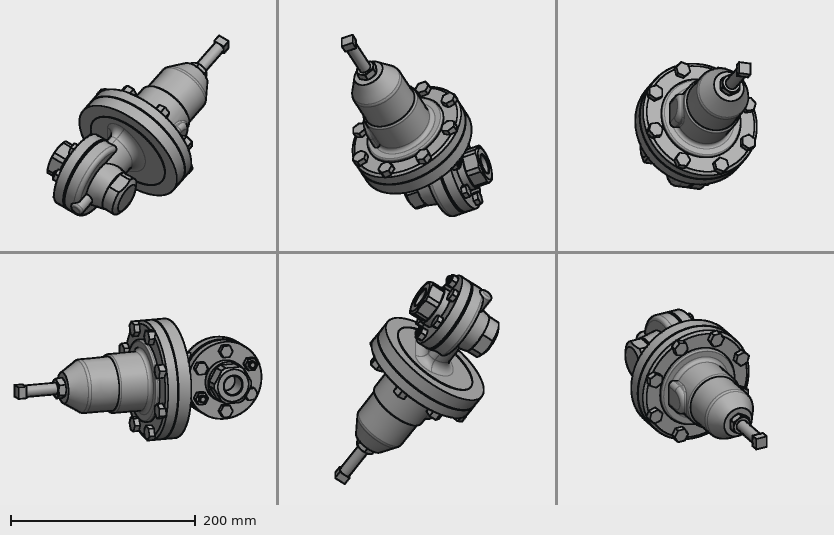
import cadquery as cq
import math


hex_half_angle = 30

bonnet_radius = 32.0
bonnet_base_y = 85.0
bonnet_shoulder_y = 122.0
shoulder_round = 1.6
bonnet_root_fillet = 4.5
barrel_bottom_radius = 29.6
barrel_top_radius = 29.5
barrel_top_y = 154.0
cone_start_y = 157.3
cone_start_radius = 28.3
cone_top_y = 175.7
cone_top_radius = 17.0

rod_diameter = 13.0
rod_end_y = 229.5
square_head_length = 9.0
lock_nut_flats = 19.5
lock_nut_top_y = 184.2
lock_nut_chamfer_angle = 30

flange_radius = 65.0
flange_bottom_y = 52.0
flange_rim_y = 78.8
flange_top_y = 80.7
flange_bevel_width = 3.5
flange_joint_y = 67.0
flange_joint_width = 0.8
joint_depth = 0.3
ring_radius = 45.0
ring_round = 2.0
pad_radius = 49.5
pad_thickness = 0.8

flange_bolt_count = 8
flange_bolt_circle_radius = 57.5
flange_bolt_flats = 14.3
flange_bolt_top_y = 87.0
flange_bolt_twist = 7.5

arch_radius = 16.2
arch_center_y = 99.5
arch_face_x = 36.5
arch_round = 5.8
arch_root_fillet = 2.2

neck_min_x = -16.7
neck_radius = 30.0
neck_corner_radius = 6.9
neck_flare_radius = 10.2

disc_radius = 42.8
cover_left_x = -30.7
gasket_left_x = -18.7
gasket_right_x = neck_min_x
gasket_recess = 0.5
disc_edge_round = 5.0
spigot_start_radius = 26.5
spigot_end_radius = 22.8
outlet_start_x = 19.2
outlet_end_x = 35.7
outlet_radius = 22.2
port_flats = 39.5
outlet_bevel_length = 3.3
outlet_bevel_depth = 5.8

collar_radius = 22.5
inlet_hex_right_x = -39.5
inlet_end_x = -56.3
inlet_corner_radius = 21.5
inlet_bevel_length = 1.5
inlet_bevel_depth = 3.5
bore_radius = 10.5
bore_chamfer = 0.8
bore_depth = 22.0

cover_bolt_count = 6
cover_bolt_circle_radius = 33.2
cover_bolt_flats = 12.5
cover_bolt_head = 5.8
cover_nut_height = 6.5
stud_radius = 4.0
stud_end_x = -40.4
stud_end_chamfer = 1.0
stud_positions = (1, 4)

plug_radius = 7.7
total_length = 274.5
plug_end_y = rod_end_y - total_length
plug_round = 2.7


def hex_diameter(flats):
    """Across-corners size of a hexagon from its across-flats size."""
    return flats / math.cos(math.radians(hex_half_angle))


def cylinder_y(radius, start_y, end_y):
    """Cylinder on the Y axis between two Y levels."""
    height = end_y - start_y
    start = cq.Vector(0, start_y, 0)
    return cq.Workplane(cq.Solid.makeCylinder(radius, height, start, cq.Vector(0, 1, 0)))


def cylinder_x(radius, start_x, end_x):
    """Cylinder on the X axis between two X positions."""
    length = end_x - start_x
    start = cq.Vector(start_x, 0, 0)
    return cq.Workplane(cq.Solid.makeCylinder(radius, length, start, cq.Vector(1, 0, 0)))


def prism_y(start_y):
    """Workplane facing +Y at a Y level, with local x along +X and local y along -Z."""
    return cq.Workplane(cq.Plane((0, start_y, 0), (1, 0, 0), (0, 1, 0)))


def prism_x(start_x):
    """Workplane facing -X at an X position, with local x along +Y and local y along -Z."""
    return cq.Workplane(cq.Plane((start_x, 0, 0), (0, 1, 0), (-1, 0, 0)))


def make_bonnet():
    """Tapered bonnet with a rounded shoulder and a fillet flowing into the flange ring."""
    fillet_top_y = bonnet_base_y + bonnet_root_fillet
    fillet_middle = bonnet_root_fillet * (1 - math.sqrt(0.5))
    round_middle = shoulder_round * (1 - math.sqrt(0.5))
    return (
        cq.Workplane("XY")
        .moveTo(0, flange_bottom_y)
        .lineTo(bonnet_radius + bonnet_root_fillet, flange_bottom_y)
        .lineTo(bonnet_radius + bonnet_root_fillet, bonnet_base_y)
        .threePointArc(
            (bonnet_radius + fillet_middle, bonnet_base_y + fillet_middle),
            (bonnet_radius, fillet_top_y),
        )
        .lineTo(bonnet_radius, bonnet_shoulder_y - shoulder_round)
        .threePointArc(
            (bonnet_radius - round_middle, bonnet_shoulder_y - round_middle),
            (bonnet_radius - shoulder_round, bonnet_shoulder_y),
        )
        .lineTo(barrel_bottom_radius, bonnet_shoulder_y)
        .lineTo(barrel_top_radius, barrel_top_y)
        .tangentArcPoint((cone_start_radius, cone_start_y), relative=False)
        .lineTo(cone_top_radius, cone_top_y)
        .lineTo(0, cone_top_y)
        .close()
        .revolve(360, (0, 0), (0, 1))
    )


def make_adjusting_screw():
    """Round rod with a square head and a chamfered lock nut, nut corners along Z."""
    rod = cylinder_y(rod_diameter / 2, bonnet_base_y, rod_end_y)
    head_plane = prism_y(rod_end_y - square_head_length)
    head = head_plane.rect(rod_diameter, rod_diameter).extrude(square_head_length)
    nut_height = lock_nut_top_y - cone_top_y
    corner_diameter = hex_diameter(lock_nut_flats)
    nut_plane = prism_y(cone_top_y).transformed((0, 0, hex_half_angle))
    nut = nut_plane.polygon(6, corner_diameter).extrude(nut_height)
    bevel_width = (corner_diameter - lock_nut_flats) / 2
    bevel_height = bevel_width * math.tan(math.radians(lock_nut_chamfer_angle))
    blank = cylinder_y(corner_diameter / 2, cone_top_y, lock_nut_top_y)
    blank = blank.faces("<Y or >Y").chamfer(bevel_height, bevel_width)
    return rod.union(head).union(nut.intersect(blank))


def make_flange():
    """Two clamped flange halves with a bevelled rim, a joint line and a raised ring on top."""
    flange = (
        cq.Workplane("XY")
        .moveTo(0, flange_bottom_y)
        .lineTo(flange_radius, flange_bottom_y)
        .lineTo(flange_radius, flange_rim_y)
        .lineTo(flange_radius - flange_bevel_width, flange_top_y)
        .lineTo(0, flange_top_y)
        .close()
        .revolve(360, (0, 0), (0, 1))
    )
    joint_start_y = flange_joint_y - flange_joint_width / 2
    joint_end_y = flange_joint_y + flange_joint_width / 2
    joint = cylinder_y(flange_radius + joint_depth, joint_start_y, joint_end_y)
    joint = joint.cut(cylinder_y(flange_radius - joint_depth, joint_start_y, joint_end_y))
    ring = cylinder_y(ring_radius, flange_bottom_y, bonnet_base_y).faces(">Y").edges().fillet(ring_round)
    return flange.cut(joint).union(ring)


def make_flange_bolts():
    """Ring of hexagon heads, each turned by the same small twist from its radial direction."""
    bolts = cq.Workplane()
    pitch_angle = 360 / flange_bolt_count
    head_height = flange_bolt_top_y - flange_rim_y
    for index in range(flange_bolt_count):
        bolt = (
            prism_y(flange_rim_y)
            .center(flange_bolt_circle_radius, 0)
            .transformed((0, 0, -flange_bolt_twist))
            .polygon(6, hex_diameter(flange_bolt_flats))
            .extrude(head_height)
            .rotate((0, 0, 0), (0, 1, 0), -(index + 0.5) * pitch_angle)
        )
        bolts = bolts.add(bolt)
    return bolts.combine()


def on_bonnet_side(edge):
    """True for an edge on the +X half of the bonnet wall."""
    ends = edge.Vertices()
    radii = [math.hypot(end.X, end.Z) for end in ends]
    return min(end.X for end in ends) > 0 and all(math.isclose(radius, bonnet_radius) for radius in radii)


def make_arch_boss():
    """Flat-faced boss with a half-round top, filleted into the side of the bonnet."""
    core = cylinder_y(bonnet_radius, flange_rim_y, bonnet_shoulder_y - shoulder_round)
    boss = (
        cq.Workplane("YZ")
        .moveTo(flange_rim_y, -arch_radius)
        .lineTo(arch_center_y, -arch_radius)
        .threePointArc((arch_center_y + arch_radius, 0), (arch_center_y, arch_radius))
        .lineTo(flange_rim_y, arch_radius)
        .close()
        .extrude(arch_face_x)
        .faces(">X")
        .edges("not <Y")
        .fillet(arch_round)
    )
    joined = core.union(boss)
    root_edges = [edge for edge in joined.edges("not #Y").vals() if on_bonnet_side(edge)]
    return joined.newObject(root_edges).fillet(arch_root_fillet)


def make_neck():
    """Half-round neck, flat on -X with rounded corners, flared into the round flange pad."""
    pad_bottom_y = flange_bottom_y - pad_thickness
    pad = cylinder_y(pad_radius, pad_bottom_y, flange_rim_y)
    column = (
        prism_y(0)
        .moveTo(neck_min_x, -neck_radius)
        .threePointArc((neck_min_x + neck_radius, 0), (neck_min_x, neck_radius))
        .close()
        .extrude(flange_rim_y)
        .edges("|Y")
        .fillet(neck_corner_radius)
    )
    reach = neck_radius + neck_corner_radius
    root = cq.selectors.BoxSelector(
        (-reach, pad_bottom_y - pad_thickness / 2, -reach),
        (reach, pad_bottom_y + pad_thickness / 2, reach),
        boundingbox=True,
    )
    return pad.union(column).edges(root).fillet(neck_flare_radius)


def make_valve_body():
    """Cover, gasket, rounded disc and conical spigot, ending in a bevelled outlet with two flats."""
    cover = cylinder_x(disc_radius, cover_left_x, gasket_left_x)
    gasket = cylinder_x(disc_radius - gasket_recess, gasket_left_x, gasket_right_x)
    disc = cylinder_x(disc_radius, gasket_right_x, 0).faces(">X").edges().fillet(disc_edge_round)
    spigot = (
        cq.Workplane("XY")
        .moveTo(0, 0)
        .lineTo(0, spigot_start_radius)
        .lineTo(outlet_start_x, spigot_end_radius)
        .lineTo(outlet_start_x, 0)
        .close()
        .revolve(360, (0, 0), (1, 0))
    )
    outlet = cylinder_x(outlet_radius, outlet_start_x, outlet_end_x)
    outlet = outlet.faces(">X").chamfer(outlet_bevel_length, outlet_bevel_depth)
    flats = cq.Workplane("XY").box(4 * outlet_end_x, 4 * outlet_radius, port_flats)
    return cover.union(gasket).union(disc).union(spigot).union(outlet.intersect(flats))


def make_inlet():
    """Round collar and a hexagon with trimmed corners, bevelled at its outer end."""
    collar = cylinder_x(collar_radius, inlet_hex_right_x, cover_left_x)
    hex_length = inlet_hex_right_x - inlet_end_x
    hexagon = prism_x(inlet_hex_right_x).polygon(6, hex_diameter(port_flats)).extrude(hex_length)
    blank = cylinder_x(inlet_corner_radius, inlet_end_x, inlet_hex_right_x)
    blank = blank.faces("<X").chamfer(inlet_bevel_length, inlet_bevel_depth)
    return collar.union(hexagon.intersect(blank))


def make_inlet_bore():
    """Blind bore in the inlet with a chamfered mouth."""
    mouth_radius = bore_radius + bore_chamfer
    return (
        cq.Workplane("XY")
        .moveTo(inlet_end_x, 0)
        .lineTo(inlet_end_x, mouth_radius)
        .lineTo(inlet_end_x + bore_chamfer, bore_radius)
        .lineTo(inlet_end_x + bore_depth, bore_radius)
        .lineTo(inlet_end_x + bore_depth, 0)
        .close()
        .revolve(360, (0, 0), (1, 0))
    )


def make_cover_bolts():
    """Ring of hexagon heads on the cover; two opposite ones are nuts on projecting studs."""
    bolts = cq.Workplane()
    for index in range(cover_bolt_count):
        angle = math.radians(90 + index * 360 / cover_bolt_count)
        center_y = cover_bolt_circle_radius * math.cos(angle)
        center_z = cover_bolt_circle_radius * math.sin(angle)
        height = cover_nut_height if index in stud_positions else cover_bolt_head
        face = prism_x(cover_left_x).center(center_y, -center_z)
        bolts = bolts.add(face.polygon(6, hex_diameter(cover_bolt_flats)).extrude(height))
        if index in stud_positions:
            stud = face.circle(stud_radius).extrude(cover_left_x - stud_end_x)
            bolts = bolts.add(stud.faces("<X").chamfer(stud_end_chamfer))
    return bolts.combine()


def make_plug():
    """Round-ended plug projecting from the -Y side of the valve body."""
    plug = prism_y(plug_end_y).circle(plug_radius).extrude(-plug_end_y)
    return plug.faces("<Y").edges().fillet(plug_round)


result = (
    make_flange()
    .union(make_bonnet())
    .union(make_arch_boss())
    .union(make_flange_bolts())
    .union(make_adjusting_screw())
    .union(make_neck())
    .union(make_valve_body())
    .union(make_plug())
    .union(make_inlet())
    .union(make_cover_bolts())
    .cut(make_inlet_bore())
)